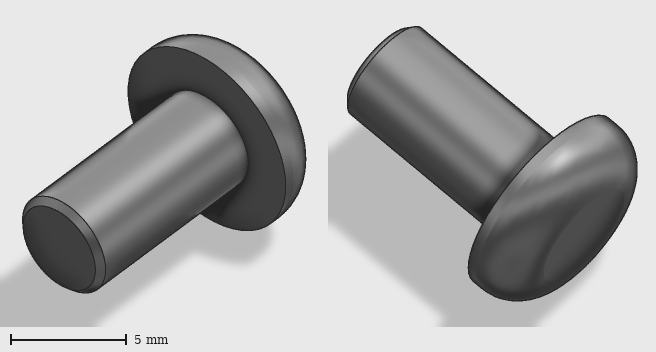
import cadquery as cq

INCH = 25.4
head_diameter = 0.361 * INCH
head_height = 0.101 * INCH
rim_height = 0.020 * INCH
shank_diameter = 0.190 * INCH
shank_length = 0.375 * INCH
tip_chamfer = 0.31

dome_radius = head_height - rim_height


def make_head():
    disc = cq.Workplane("XZ").circle(head_diameter / 2).extrude(-head_height)
    return disc.faces(">Y").edges().fillet(dome_radius)


def make_shank():
    rod = cq.Workplane("XZ").circle(shank_diameter / 2).extrude(shank_length)
    return rod.faces("<Y").edges().chamfer(tip_chamfer)


result = make_head().union(make_shank())